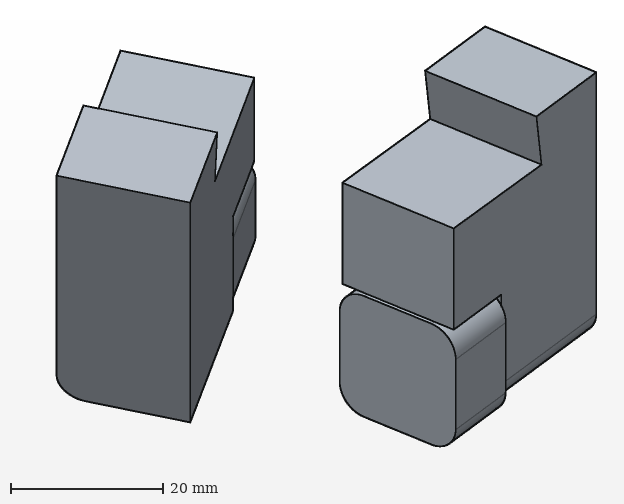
import cadquery as cq

insert_side = 19.05
insert_length = 11.0
corner_radius = 4.0

total_height = 43.0
total_length = 32.0

side_overhang = 0.77
bottom_overhang = 1.0
back_overhang = 0.6

lip_length = 13.2
undercut = 1.1
step_depth_at_wall = 8.15
step_depth_at_back = 8.0

holder_width = insert_side - side_overhang
holder_length = total_length - back_overhang
insert_front = total_length - insert_length


def make_insert_envelope():
    """Square block that bounds the insert, flush with the holder's +X face."""
    block = cq.Workplane("XY", origin=(0, insert_front, 0))
    return block.box(insert_side, insert_length, insert_side, centered=False)


def make_insert():
    """Square insert with its four long edges rounded."""
    return make_insert_envelope().edges("|Y").fillet(corner_radius)


def make_holder():
    """Stepped block with one rounded lower edge and a square-cornered notch for the insert."""
    side_profile = [
        (0, bottom_overhang),
        (holder_length, bottom_overhang),
        (holder_length, total_height - step_depth_at_back),
        (lip_length - undercut, total_height - step_depth_at_wall),
        (lip_length, total_height),
        (0, total_height),
    ]
    block = (
        cq.Workplane("YZ", origin=(side_overhang, 0, 0))
        .polyline(side_profile)
        .close()
        .extrude(holder_width)
    )
    block = block.faces("<X").edges("<Z").fillet(corner_radius)
    return block.cut(make_insert_envelope()).solids()


insert = make_insert()
holder = make_holder()

result = cq.Compound.makeCompound([holder.val(), insert.val()])